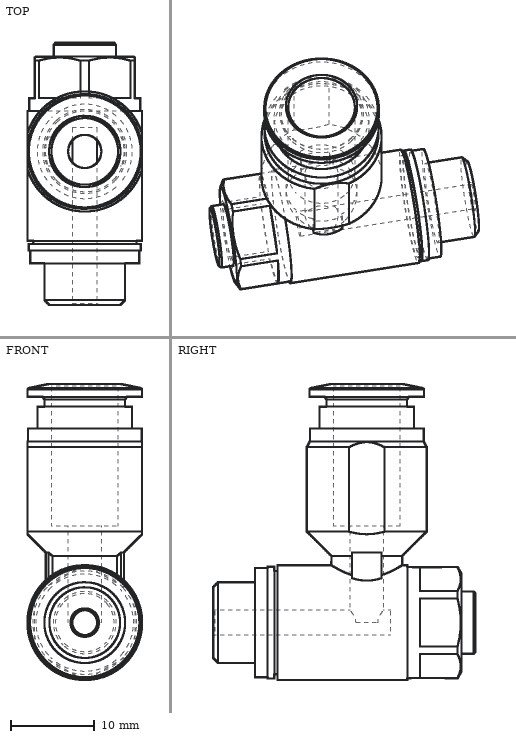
import cadquery as cq
import math


THREAD_END_Y = -18.48
FLANGE_FRONT_Y = -13.45
SEAL_FRONT_Y = -11.93
SEAL_BACK_Y = -11.1
BODY_FRONT_Y = -10.75
BODY_BACK_Y = 4.88
NUT_FRONT_Y = 6.4
NUT_BACK_Y = 11.4
KNOB_END_Y = 13.05

BODY_DIAMETER = 13.8
THREAD_DIAMETER = 9.72
THREAD_CHAMFER = 0.6
FLANGE_DIAMETER = 13.15
SEAL_DIAMETER = 13.5
GROOVE_DIAMETER = 12.45
COLLAR_DIAMETER = 13.4
NUT_ACROSS_FLATS = 12.07
NUT_FACE_DIAMETER = 11.7
NUT_CHAMFER_ANGLE = 30
KNOB_DIAMETER = 7.5
KNOB_CHAMFER = 0.25
BOLT_BORE_DIAMETER = 3.0
BOLT_BORE_CHAMFER = 0.2
BOLT_BORE_END_Y = 2.85

CONE_BOTTOM_Z = 8.0
SOCKET_BOTTOM_Z = 10.93
SOCKET_SHOULDER_Z = 21.08
CAP_BOTTOM_Z = 21.8
CAP_TOP_Z = 23.35
GUIDE_TOP_Z = 25.95
SLEEVE_TOP_Z = 26.8
RING_BOTTOM_Z = 27.13
RING_EDGE_Z = 28.2
RING_TOP_Z = 28.7

NECK_DIAMETER = 8.55
SOCKET_DIAMETER = 14.45
SOCKET_ACROSS_FLATS = BODY_DIAMETER
CAP_DIAMETER = 13.7
GUIDE_DIAMETER = 11.4
SLEEVE_DIAMETER = 9.72
SLEEVE_FLARE_DIAMETER = 10.1
RING_DIAMETER = BODY_DIAMETER
RING_EDGE_CHAMFER = 0.18
LOBE_DIAMETER = 9.45
LOBE_WIDTH = 3.52
TUBE_BORE_DIAMETER = 8.0
TUBE_BORE_CHAMFER = 0.3
RING_TOP_DIAMETER = TUBE_BORE_DIAMETER + 2 * TUBE_BORE_CHAMFER
TUBE_BORE_FLOOR_Z = 11.6
PASSAGE_DIAMETER = 4.0


def y_cylinder(diameter, y_start, y_end):
    """Solid cylinder on the bolt axis between two Y stations."""
    plane = cq.Workplane("XZ", origin=(0, y_start, 0))
    return plane.circle(diameter / 2).extrude(y_start - y_end)


def z_cylinder(diameter, z_start, z_end):
    """Solid cylinder on the socket axis between two Z stations."""
    return cq.Workplane("XY").workplane(offset=z_start).circle(diameter / 2).extrude(z_end - z_start)


def make_bolt():
    """Threaded end, flange, seal, groove, banjo body and collar, stacked along Y."""
    bolt = y_cylinder(THREAD_DIAMETER, THREAD_END_Y, FLANGE_FRONT_Y).faces("<Y").chamfer(THREAD_CHAMFER)
    sections = [
        (FLANGE_DIAMETER, FLANGE_FRONT_Y, SEAL_FRONT_Y),
        (SEAL_DIAMETER, SEAL_FRONT_Y, SEAL_BACK_Y),
        (GROOVE_DIAMETER, SEAL_BACK_Y, BODY_FRONT_Y),
        (BODY_DIAMETER, BODY_FRONT_Y, BODY_BACK_Y),
        (COLLAR_DIAMETER, BODY_BACK_Y, NUT_FRONT_Y),
    ]
    for diameter, y_start, y_end in sections:
        bolt = bolt.union(y_cylinder(diameter, y_start, y_end))
    return bolt


def make_nut():
    """Hexagon with corners on Z, trimmed by a cylinder with a conical end."""
    corner_diameter = NUT_ACROSS_FLATS / math.cos(math.pi / 6)
    hexagon = (
        cq.Workplane("XZ", origin=(0, NUT_FRONT_Y, 0))
        .transformed(rotate=(0, 0, 90))
        .polygon(6, corner_diameter)
        .extrude(NUT_FRONT_Y - NUT_BACK_Y)
    )
    chamfer_drop = (COLLAR_DIAMETER - NUT_FACE_DIAMETER) / 2 * math.tan(math.radians(NUT_CHAMFER_ANGLE))
    envelope = (
        cq.Workplane("XY")
        .moveTo(0, NUT_FRONT_Y)
        .lineTo(COLLAR_DIAMETER / 2, NUT_FRONT_Y)
        .lineTo(COLLAR_DIAMETER / 2, NUT_BACK_Y - chamfer_drop)
        .lineTo(NUT_FACE_DIAMETER / 2, NUT_BACK_Y)
        .lineTo(0, NUT_BACK_Y)
        .close()
        .revolve(360, (0, 0, 0), (0, 1, 0))
    )
    return hexagon.intersect(envelope)


def make_knob():
    return y_cylinder(KNOB_DIAMETER, NUT_BACK_Y, KNOB_END_Y).faces(">Y").chamfer(KNOB_CHAMFER)


def make_socket():
    """Turned neck, socket and release ring, with two flats on the socket."""
    outline = [
        (0, 0),
        (NECK_DIAMETER / 2, 0),
        (NECK_DIAMETER / 2, CONE_BOTTOM_Z),
        (SOCKET_DIAMETER / 2, SOCKET_BOTTOM_Z),
        (SOCKET_DIAMETER / 2, SOCKET_SHOULDER_Z),
        (CAP_DIAMETER / 2, CAP_BOTTOM_Z),
        (CAP_DIAMETER / 2, CAP_TOP_Z),
        (GUIDE_DIAMETER / 2, CAP_TOP_Z),
        (GUIDE_DIAMETER / 2, GUIDE_TOP_Z),
        (SLEEVE_DIAMETER / 2, GUIDE_TOP_Z),
        (SLEEVE_DIAMETER / 2, SLEEVE_TOP_Z),
        (SLEEVE_FLARE_DIAMETER / 2, RING_BOTTOM_Z),
        (RING_DIAMETER / 2, RING_BOTTOM_Z),
        (RING_DIAMETER / 2, RING_EDGE_Z - RING_EDGE_CHAMFER),
        (RING_DIAMETER / 2 - RING_EDGE_CHAMFER, RING_EDGE_Z),
        (RING_TOP_DIAMETER / 2, RING_TOP_Z),
        (0, RING_TOP_Z),
    ]
    socket = cq.Workplane("XZ").polyline(outline).close().revolve(360, (0, 0, 0), (0, 1, 0))
    between_flats = cq.Workplane("XY").box(
        SOCKET_ACROSS_FLATS, SOCKET_DIAMETER, RING_TOP_Z, centered=(True, True, False)
    )
    return socket.intersect(between_flats)


def make_neck_lobes():
    """Two ribs on the sides of the neck, running up into the cone."""
    slab = cq.Workplane("XY").box(
        LOBE_DIAMETER, LOBE_WIDTH, SOCKET_BOTTOM_Z, centered=(True, True, False)
    )
    return z_cylinder(LOBE_DIAMETER, 0, SOCKET_BOTTOM_Z).intersect(slab)


def cut_flow_path(part):
    """Tube bore, passage down to the bolt axis, and bore out through the thread."""
    tube_bore = z_cylinder(TUBE_BORE_DIAMETER, TUBE_BORE_FLOOR_Z, RING_TOP_Z)
    tube_mouth = (
        cq.Workplane("XY")
        .workplane(offset=RING_TOP_Z)
        .circle(TUBE_BORE_DIAMETER / 2 + TUBE_BORE_CHAMFER)
        .extrude(-TUBE_BORE_CHAMFER, taper=45)
    )
    passage = z_cylinder(PASSAGE_DIAMETER, 0, TUBE_BORE_FLOOR_Z)
    bolt_bore = y_cylinder(BOLT_BORE_DIAMETER, THREAD_END_Y, BOLT_BORE_END_Y)
    bolt_mouth = (
        cq.Workplane("XZ", origin=(0, THREAD_END_Y, 0))
        .circle(BOLT_BORE_DIAMETER / 2 + BOLT_BORE_CHAMFER)
        .extrude(-BOLT_BORE_CHAMFER, taper=45)
    )
    for cutter in (tube_bore, tube_mouth, passage, bolt_bore, bolt_mouth):
        part = part.cut(cutter)
    return part


solid = make_bolt()
for piece in (make_nut(), make_knob(), make_socket(), make_neck_lobes()):
    solid = solid.union(piece)
result = cut_flow_path(solid)